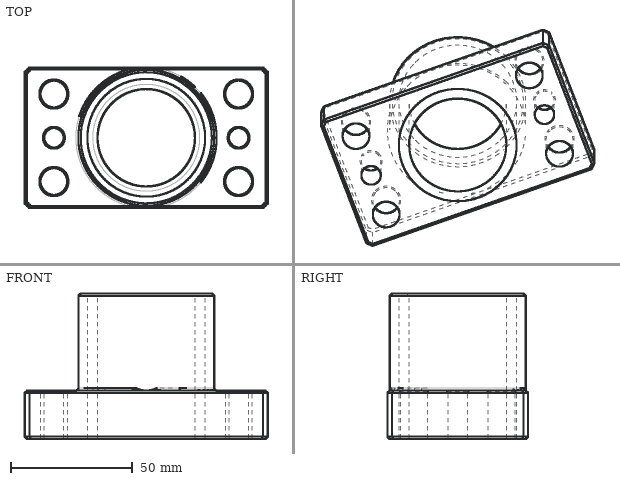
import cadquery as cq

flange_length = 100.0
flange_width = 58.0
flange_thickness = 20.0
corner_chamfer = 2.0
rim_chamfer = 1.0

total_height = 60.0
sleeve_radius = 28.0
sleeve_top_chamfer = 1.0
sleeve_root_fillet = 1.0
root_flank_slope = 3.0

bushing_outer_radius = 24.25
bushing_bore_radius = 20.0
bushing_mouth_fillet = 2.0

hole_column_x = 38.0
bolt_hole_y = 18.0
bolt_hole_diameter = 11.0
dowel_hole_diameter = 8.0
hole_chamfer = 0.5


def make_flange():
    """Plate with bevelled vertical corners and bevelled top and bottom rims."""
    plate = cq.Workplane("XY").box(
        flange_length, flange_width, flange_thickness, centered=(True, True, False)
    )
    plate = plate.edges("|Z").chamfer(corner_chamfer)
    return plate.faces("<Z or >Z").edges().chamfer(rim_chamfer)


def make_hole_cutter(diameter):
    """Through-hole tool that flares at the top face to leave a chamfer."""
    radius = diameter / 2
    return (
        cq.Workplane("XZ")
        .lineTo(radius, 0)
        .lineTo(radius, flange_thickness - hole_chamfer)
        .lineTo(radius + hole_chamfer, flange_thickness)
        .lineTo(0, flange_thickness)
        .close()
        .revolve(360, (0, 0), (0, 1))
    )


def make_root_fillet():
    """Concave ring around the sleeve foot, tapering away where the sleeve meets the long rims."""
    fillet_top = flange_thickness + sleeve_root_fillet
    fillet_reach = sleeve_radius + sleeve_root_fillet
    ring = (
        cq.Workplane("XZ")
        .moveTo(bushing_outer_radius, flange_thickness)
        .lineTo(fillet_reach, flange_thickness)
        .radiusArc((sleeve_radius, fillet_top), sleeve_root_fillet)
        .lineTo(bushing_outer_radius, fillet_top)
        .close()
        .revolve(360, (0, 0), (0, 1))
    )
    rim_y = flange_width / 2 - rim_chamfer
    flank_top_y = rim_y - sleeve_root_fillet / root_flank_slope
    trim = (
        cq.Workplane("YZ")
        .polyline([
            (-rim_y, flange_thickness),
            (rim_y, flange_thickness),
            (flank_top_y, fillet_top),
            (-flank_top_y, fillet_top),
        ])
        .close()
        .extrude(fillet_reach, both=True)
    )
    return ring.intersect(trim)


def make_housing():
    """Flange and sleeve in one piece, bored for the bushing and drilled for mounting."""
    sleeve = (
        cq.Workplane("XY")
        .circle(sleeve_radius)
        .extrude(total_height)
        .faces(">Z")
        .edges()
        .chamfer(sleeve_top_chamfer)
    )
    housing = make_flange().union(sleeve).union(make_root_fillet())
    bore = cq.Workplane("XY").circle(bushing_outer_radius).extrude(total_height)
    housing = housing.cut(bore)

    for x in (-hole_column_x, hole_column_x):
        for y in (-bolt_hole_y, bolt_hole_y):
            housing = housing.cut(make_hole_cutter(bolt_hole_diameter).translate((x, y, 0)))
        housing = housing.cut(make_hole_cutter(dowel_hole_diameter).translate((x, 0, 0)))
    return housing


def make_bushing():
    """Plain tube with a rounded mouth at the top of its bore."""
    return (
        cq.Workplane("XY")
        .circle(bushing_outer_radius)
        .circle(bushing_bore_radius)
        .extrude(total_height)
        .faces(">Z")
        .edges(cq.selectors.RadiusNthSelector(0))
        .fillet(bushing_mouth_fillet)
    )


housing = make_housing()
bushing = make_bushing()

result = cq.Compound.makeCompound([housing.val(), bushing.val()])